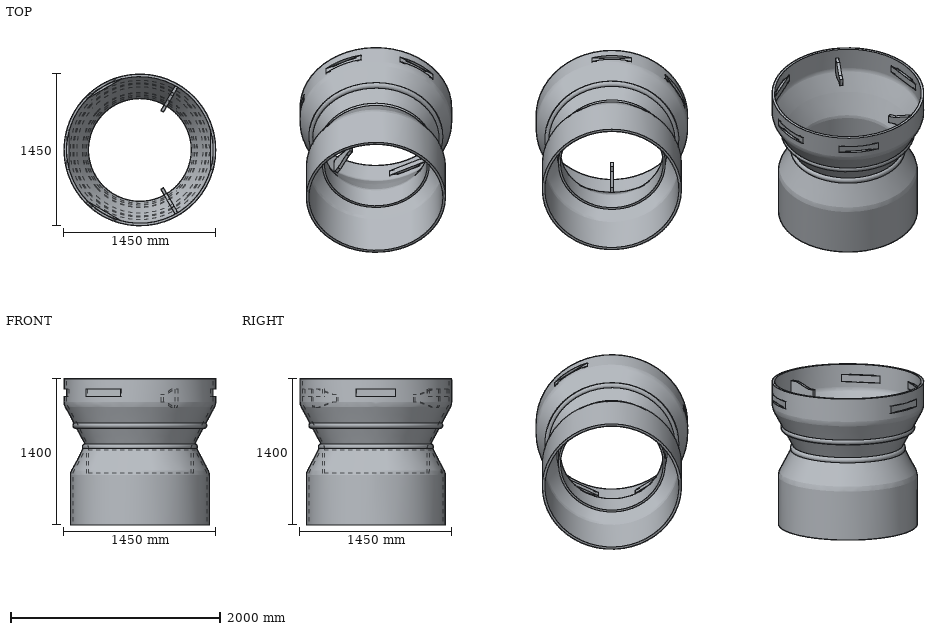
import cadquery as cq
import math

total_height = 1400.0
wall = 25.0
upper_outer_radius = 725.0
upper_inner_radius = upper_outer_radius - wall
lower_outer_radius = 665.0
lower_inner_radius = lower_outer_radius - wall
lower_cone_z = 500.0
throat_z = 750.0
upper_cone_z = 1150.0
corner_radius = 100.0

throat_wall = 20.0
throat_inner_radius = 490.0
throat_outer_radius = throat_inner_radius + throat_wall
throat_corner_radius = 65.0
skirt_bottom_z = lower_cone_z
neck_bend_radius = 597.0
neck_bend_z = 968.0

ring_bar_radius = 30.0
upper_ring_outer_radius = 640.0
upper_ring_radius = upper_ring_outer_radius - ring_bar_radius
upper_ring_z = 953.0
lower_ring_outer_radius = 550.0
lower_ring_radius = lower_ring_outer_radius - ring_bar_radius
lower_ring_z = 748.0

plate_angles = (0, 120, 180, 240)
plate_thickness = 25.0
plate_height = 70.0
plate_top_z = 1300.0
plate_width = 2 * math.sqrt(upper_outer_radius**2 - upper_inner_radius**2)

fin_angles = (60, 300)
fin_thickness = 30.0
fin_tip_radius = 425.0
fin_tip_length = 60.0
fin_root_length = 70.0
fin_tip_height = 75.0
fin_root_height = 175.0
fin_mid_z = plate_top_z - fin_root_height / 2


def revolved(profile):
    """Turn a closed profile of (radius, z) about the Z axis."""
    return profile.close().revolve(360, (0, 0, 0), (0, 1, 0))


def circle_edge(radius, z):
    """Selector for the circular edge of this radius at height z."""
    margin = 1.0
    reach = radius + margin
    return cq.selectors.BoxSelector(
        (-reach, -reach, z - margin), (reach, reach, z + margin), boundingbox=True
    )


def upper_interior():
    """Space inside the upper socket, neck and skirt."""
    half_taper = math.atan2(upper_outer_radius - throat_outer_radius, upper_cone_z - throat_z) / 2
    inner_corner_z = upper_cone_z + wall * math.tan(half_taper)
    space = revolved(
        cq.Workplane("XZ")
        .moveTo(0, skirt_bottom_z)
        .lineTo(throat_inner_radius, skirt_bottom_z)
        .lineTo(throat_inner_radius, throat_z)
        .lineTo(neck_bend_radius, neck_bend_z)
        .lineTo(upper_inner_radius, inner_corner_z)
        .lineTo(upper_inner_radius, total_height)
        .lineTo(0, total_height)
    )
    space = space.edges(circle_edge(upper_inner_radius, inner_corner_z)).fillet(corner_radius - wall)
    return space.edges(circle_edge(throat_inner_radius, throat_z)).fillet(throat_corner_radius)


def upper_outline():
    """Solid outline of the upper socket, neck and skirt."""
    outline = revolved(
        cq.Workplane("XZ")
        .moveTo(0, skirt_bottom_z)
        .lineTo(throat_outer_radius, skirt_bottom_z)
        .lineTo(throat_outer_radius, throat_z)
        .lineTo(upper_outer_radius, upper_cone_z)
        .lineTo(upper_outer_radius, total_height)
        .lineTo(0, total_height)
    )
    return outline.edges(circle_edge(upper_outer_radius, upper_cone_z)).fillet(corner_radius)


def lower_outline(radius, throat_radius, bend_radius):
    """Solid cylinder that narrows from radius to throat_radius, rounded where the cone starts."""
    outline = revolved(
        cq.Workplane("XZ")
        .lineTo(radius, 0)
        .lineTo(radius, lower_cone_z)
        .lineTo(throat_radius, throat_z)
        .lineTo(0, throat_z)
    )
    return outline.edges(circle_edge(radius, lower_cone_z)).fillet(bend_radius)


def lower_socket():
    """Lower socket with its cone, ending on the outside of the throat."""
    outside = lower_outline(lower_outer_radius, throat_outer_radius + wall, corner_radius)
    inside = lower_outline(lower_inner_radius, throat_outer_radius, corner_radius - wall)
    return outside.cut(inside)


def ring(radius, z):
    """Round bar bent into a ring, its seam on the inner side."""
    section = cq.Workplane("XZ").center(-radius, z).circle(ring_bar_radius)
    return section.revolve(360, (radius, 0, 0), (radius, 1, 0))


def slot_block(angle, depth):
    """Block on the upper wall, reaching outward from the plates' inner face."""
    inner_face = upper_inner_radius - plate_thickness
    return (
        cq.Workplane("XY")
        .box(depth, plate_width, plate_height, centered=(False, True, False))
        .translate((inner_face, 0, plate_top_z - plate_height))
        .rotate((0, 0, 0), (0, 0, 1), angle)
    )


def make_plate(angle):
    """Flat plate at the inner end of its slot."""
    return slot_block(angle, plate_thickness)


def make_fin(angle, interior):
    """Radial fin that widens from its tip to its root on the wall."""
    tip_end = fin_tip_radius + fin_tip_length
    root_start = upper_inner_radius - fin_root_length
    half_tip = fin_tip_height / 2
    half_root = fin_root_height / 2
    upper_edge = [
        (fin_tip_radius, half_tip),
        (tip_end, half_tip),
        (root_start, half_root),
        (upper_outer_radius, half_root),
    ]
    lower_edge = [(radius, -height) for radius, height in reversed(upper_edge)]
    fin = (
        cq.Workplane("XZ")
        .polyline(upper_edge + lower_edge)
        .close()
        .extrude(fin_thickness / 2, both=True)
        .translate((0, 0, fin_mid_z))
        .rotate((0, 0, 0), (0, 0, 1), angle)
    )
    return fin.intersect(interior)


def make_shell(interior):
    """Both sockets, the neck and the rings in one piece, with the plate slots cut through."""
    shell = upper_outline().union(ring(upper_ring_radius, upper_ring_z))
    shell = shell.union(lower_socket()).union(ring(lower_ring_radius, lower_ring_z))
    shell = shell.cut(interior)
    slot_depth = 2 * (plate_thickness + wall)
    for angle in plate_angles:
        shell = shell.cut(slot_block(angle, slot_depth))
    return shell


socket_space = upper_interior()
shell = make_shell(socket_space)
plates = [make_plate(angle) for angle in plate_angles]
fins = [make_fin(angle, socket_space) for angle in fin_angles]

bodies = [shell, *plates, *fins]
result = cq.Compound.makeCompound([solid for body in bodies for solid in body.solids().vals()])